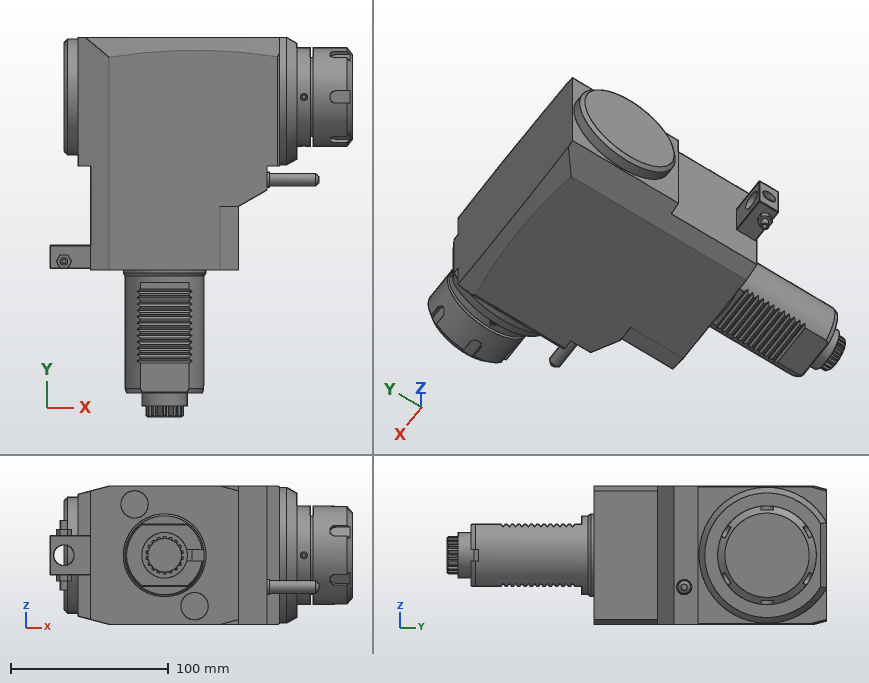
import cadquery as cq
import math


body_height = 88.0
half_height = body_height / 2
body_depth = 147.7
foot_half_width = 47.0
head_left = -55.0
head_right = 73.0
head_front = 66.0
shoulder_x = 65.0
shoulder_y = 50.9
foot_top = 40.5
bevel_angle = 15
bevel_start_right = 35.2
bevel_start_left = -bevel_start_right
rear_bevel_radius = 335.0
rear_bevel_x = 19.3
rear_bevel_peak = 139.5
right_edge_length = 1.5
right_edge_drop = 0.7

spindle_y = 110.0
cap_radius = 36.9
cap_left = -63.9
cap_chamfer = 2.5
flange_radius = 43.1
flange_bevel_x = 77.4
flange_end_x = 83.9
flange_end_radius = 39.5
rear_flat_angle = 30
nut_radius = 31.3
collar_end_x = 92.5
neck_radius = 25.0
nut_start_x = 94.2
nut_chamfer_x = 115.7
nut_end_x = 119.3
nut_end_radius = 26.8
nut_slot_count = 6
nut_slot_width = 8.0
nut_slot_start_x = 104.8
nut_slot_floor_radius = 28.7
collar_hole_count = 4
collar_hole_x = 88.5
collar_hole_radius = 2.2
collar_hole_depth = 1.5
collar_socket_radius = 1.2
collar_socket_depth = 3.0

pin_y = 57.4
pin_z = -20.2
pin_radius = 4.0
pin_end_x = 97.8
pin_tip_chamfer = 2.2
pin_collar_radius = 4.8
pin_collar_length = 1.5

shank_radius = 25.0
shank_length = 78.0
shank_end_length = 3.0
shank_end_drop = 1.0
base_ring_radius = 26.3
base_ring_length = 2.0
base_ring_end = 3.5
flat_height = 19.8
flat_start = 7.7
flat_end_chamfer = 0.7
groove_count = 12
groove_span = 44.0
groove_pitch = groove_span / (groove_count - 1)
first_groove = 13.5
groove_depth = 1.7
groove_half_width = 1.5
end_slot_width = 7.0
end_slot_step_radius = 17.4
end_slot_depth = 4.8
end_slot_shallow_depth = 2.0

boss_radius = 14.5
boss_end = 86.0
spline_end = 93.3
spline_teeth = 18
spline_outer_diameter = 23.9
spline_outer_radius = spline_outer_diameter / 2
spline_root_radius = 10.5
spline_end_chamfer = 1.2
tooth_root_fraction = 0.7
tooth_tip_fraction = 0.3

plug_x = 19.0
plug_z = 32.3
plug_radius = 8.7
plug_recess = 0.2

block_left = -72.8
block_front = 1.0
block_rear = 16.0
block_height = 25.3
block_edge = 0.5
block_bore_radius = 6.5
block_port_radius = 4.8
block_port_end_x = -56.6
block_port_y = 8.5
feed_hole_radius = 0.85
feed_hole_end_x = -49.5
fitting_x = -63.9
fitting_y = 5.5
hex_sides = 6
hex_across_corners = 9.6
hex_top = 16.5
stud_radius = 2.5
stud_top = 22.2
stud_socket_radius = 1.33
stud_socket_depth = 4.8

overlap = 1.2


def cylinder_x(radius, x0, x1, y=0.0, z=0.0):
    return cq.Workplane("YZ", origin=(x0, y, z)).circle(radius).extrude(x1 - x0)


def cylinder_y(radius, y0, y1, x=0.0, z=0.0):
    return cq.Workplane("XZ", origin=(x, y1, z)).circle(radius).extrude(y1 - y0)


def turned_x(profile, y):
    """Turn an (x, radius) outline about the line parallel to X at height Z = 0."""
    outline = [(x, y + radius) for x, radius in profile]
    return cq.Workplane("XY").polyline(outline).close().revolve(360, (0, y, 0), (1, y, 0))


def turned_y(profile):
    """Turn a (radius, y) outline about the Y axis."""
    return cq.Workplane("XY").polyline(profile).close().revolve(360, (0, 0, 0), (0, 1, 0))


def long_bevels():
    """Cross-section envelope in XZ that slopes the left side over its whole depth."""
    run = bevel_start_left - head_left
    side_height = half_height - run * math.tan(math.radians(bevel_angle))
    outline = [
        (bevel_start_left, half_height),
        (head_right, half_height),
        (head_right, -half_height),
        (bevel_start_left, -half_height),
        (head_left, -side_height),
        (head_left, side_height),
    ]
    return cq.Workplane("XZ", origin=(0, body_depth, 0)).polyline(outline).close().extrude(body_depth)


def foot_bevel(side):
    """Wedge that slopes the right edge of the foot; side is +1 for top, -1 for bottom."""
    run = foot_half_width + overlap - bevel_start_right
    drop = run * math.tan(math.radians(bevel_angle))
    outline = [
        (bevel_start_right, side * half_height),
        (bevel_start_right + run, side * half_height),
        (bevel_start_right + run, side * (half_height - drop)),
    ]
    return cq.Workplane("XZ", origin=(0, foot_top, 0)).polyline(outline).close().extrude(foot_top)


def head_edge_bevel(side):
    """Narrow bevel on the right edge of the head."""
    outline = [
        (head_right - right_edge_length, side * half_height),
        (head_right, side * half_height),
        (head_right, side * (half_height - right_edge_drop)),
    ]
    depth = body_depth - head_front
    return cq.Workplane("XZ", origin=(0, body_depth, 0)).polyline(outline).close().extrude(depth)


def rear_bevels():
    """Double cone about a Z axis whose flanks bevel the upper and lower rear edges."""
    equator_radius = rear_bevel_radius + half_height / math.tan(math.radians(bevel_angle))
    outline = [
        (0, half_height),
        (rear_bevel_radius, half_height),
        (equator_radius, 0),
        (rear_bevel_radius, -half_height),
        (0, -half_height),
    ]
    cone = cq.Workplane("XZ").polyline(outline).close().revolve(360, (0, 0, 0), (0, 1, 0))
    return cone.translate((rear_bevel_x, rear_bevel_peak - rear_bevel_radius, 0))


def housing():
    plan = [
        (-foot_half_width, 0),
        (foot_half_width, 0),
        (foot_half_width, foot_top),
        (shoulder_x, shoulder_y),
        (shoulder_x, head_front),
        (head_right, head_front),
        (head_right, body_depth),
        (head_left, body_depth),
        (head_left, head_front),
        (-foot_half_width, head_front),
    ]
    solid = cq.Workplane("XY", origin=(0, 0, -half_height)).polyline(plan).close().extrude(body_height)
    solid = solid.intersect(long_bevels()).intersect(rear_bevels())
    for side in (1, -1):
        solid = solid.cut(foot_bevel(side)).cut(head_edge_bevel(side))
        solid = solid.cut(cylinder_y(plug_radius, 0, plug_recess, -side * plug_x, side * plug_z))
    return solid


def end_cap():
    profile = [
        (head_left + overlap, 0),
        (cap_left, 0),
        (cap_left, cap_radius - cap_chamfer),
        (cap_left + cap_chamfer, cap_radius),
        (head_left + overlap, cap_radius),
    ]
    return turned_x(profile, spindle_y)


def flange():
    """Spindle flange, flattened level with the housing rear and sloped off at its outer end."""
    profile = [
        (head_right - overlap, 0),
        (head_right - overlap, flange_radius),
        (flange_bevel_x, flange_radius),
        (flange_end_x, flange_end_radius),
        (flange_end_x, 0),
    ]
    slope_drop = (flange_end_x - flange_bevel_x) * math.tan(math.radians(rear_flat_angle))
    front_y = spindle_y - flange_radius
    envelope = [
        (head_right - overlap, front_y),
        (flange_end_x, front_y),
        (flange_end_x, body_depth - slope_drop),
        (flange_bevel_x, body_depth),
        (head_right - overlap, body_depth),
    ]
    limits = cq.Workplane("XY").polyline(envelope).close().extrude(flange_radius, both=True)
    return turned_x(profile, spindle_y).intersect(limits)


def nut_slot(angle):
    """Wrench slot with a round inner end, cut inward from the nut rim."""
    half_width = nut_slot_width / 2
    straight_x = nut_slot_start_x + half_width
    slot = (
        cq.Workplane("XY", origin=(0, spindle_y, nut_slot_floor_radius))
        .moveTo(nut_end_x, -half_width)
        .lineTo(straight_x, -half_width)
        .threePointArc((nut_slot_start_x, 0), (straight_x, half_width))
        .lineTo(nut_end_x, half_width)
        .close()
        .extrude(nut_radius)
    )
    return slot.rotate((0, spindle_y, 0), (1, spindle_y, 0), angle)


def collar_hole(angle):
    """Recessed set screw hole with a smaller socket at its bottom."""
    def drill(radius, depth):
        plane = cq.Workplane("XY", origin=(collar_hole_x, spindle_y, nut_radius - depth))
        return plane.circle(radius).extrude(nut_radius)

    hole = drill(collar_hole_radius, collar_hole_depth)
    hole = hole.union(drill(collar_socket_radius, collar_socket_depth))
    return hole.rotate((0, spindle_y, 0), (1, spindle_y, 0), angle)


def collar_and_nut():
    profile = [
        (flange_end_x - overlap, 0),
        (flange_end_x - overlap, nut_radius),
        (collar_end_x, nut_radius),
        (collar_end_x, neck_radius),
        (nut_start_x, neck_radius),
        (nut_start_x, nut_radius),
        (nut_chamfer_x, nut_radius),
        (nut_end_x, nut_end_radius),
        (nut_end_x, 0),
    ]
    solid = turned_x(profile, spindle_y)
    for i in range(nut_slot_count):
        solid = solid.cut(nut_slot(i * 360 / nut_slot_count))
    for i in range(collar_hole_count):
        solid = solid.cut(collar_hole(i * 360 / collar_hole_count))
    return solid


def locating_pin():
    pin = cylinder_x(pin_radius, shoulder_x - overlap, pin_end_x, pin_y, pin_z)
    pin = pin.faces(">X").chamfer(pin_tip_chamfer)
    collar_end = shoulder_x + pin_collar_length
    return pin.union(cylinder_x(pin_collar_radius, shoulder_x - overlap, collar_end, pin_y, pin_z))


def flat_cutter():
    """Material above the upper shank flat, with the V grooves below it."""
    outline = [
        (-flat_start, shank_radius),
        (-flat_start, flat_height),
    ]
    for i in range(groove_count):
        y = -first_groove - i * groove_pitch
        outline.append((y + groove_half_width, flat_height))
        outline.append((y, flat_height - groove_depth))
        outline.append((y - groove_half_width, flat_height))
    outline.append((flat_end_chamfer - shank_length, flat_height))
    outline.append((-shank_length, flat_height - flat_end_chamfer))
    outline.append((-shank_length, shank_radius))
    return cq.Workplane("YZ").polyline(outline).close().extrude(shank_radius, both=True)


def end_slot():
    """Radial slot in the shank end face on the +X side, shallower next to the boss."""
    def channel(start, end, depth):
        size = (end - start, depth, end_slot_width)
        centre = ((start + end) / 2, depth / 2 - shank_length, 0)
        return cq.Workplane("XY").box(*size).translate(centre)

    outer = channel(end_slot_step_radius, shank_radius + overlap, end_slot_depth)
    return outer.union(channel(0, end_slot_step_radius, end_slot_shallow_depth))


def shank():
    profile = [
        (0, overlap),
        (base_ring_radius, overlap),
        (base_ring_radius, -base_ring_length),
        (shank_radius, -base_ring_end),
        (shank_radius, shank_end_length - shank_length),
        (shank_radius - shank_end_drop, -shank_length),
        (0, -shank_length),
    ]
    cutter = flat_cutter()
    return turned_y(profile).cut(cutter).cut(cutter.mirror("XY")).cut(end_slot())


def splined_end():
    """Boss and the external spline at the tip of the drive."""
    boss = cylinder_y(boss_radius, -boss_end, end_slot_depth - shank_length)
    pitch = 2 * math.pi / spline_teeth
    half_root = tooth_root_fraction / 2
    half_tip = tooth_tip_fraction / 2
    tooth = (
        (-half_root, spline_root_radius),
        (-half_tip, spline_outer_radius),
        (half_tip, spline_outer_radius),
        (half_root, spline_root_radius),
    )
    outline = []
    for i in range(spline_teeth):
        for offset, radius in tooth:
            angle = (i + offset) * pitch
            outline.append((radius * math.sin(angle), radius * math.cos(angle)))
    spline = (
        cq.Workplane("XZ", origin=(0, overlap - boss_end, 0))
        .polyline(outline)
        .close()
        .extrude(spline_end - boss_end + overlap)
    )
    envelope = cylinder_y(spline_outer_radius, -spline_end, overlap - boss_end)
    envelope = envelope.faces("<Y").chamfer(spline_end_chamfer)
    return boss.union(spline.intersect(envelope))


def coolant_block():
    right = -foot_half_width
    size = (right - block_left, block_rear - block_front, block_height)
    centre = ((right + block_left) / 2, (block_front + block_rear) / 2, 0)
    block = cq.Workplane("XY").box(*size).edges("<X or |X").chamfer(block_edge).translate(centre)
    base = cq.Workplane("XY", origin=(fitting_x, fitting_y, 0))
    for side in (1, -1):
        block = block.union(base.polygon(hex_sides, hex_across_corners).extrude(side * hex_top))
        block = block.union(base.circle(stud_radius).extrude(side * stud_top))
        socket = base.workplane(offset=side * (stud_top - stud_socket_depth)).circle(stud_socket_radius)
        block = block.cut(socket.extrude(side * stud_socket_depth))
    block = block.cut(cylinder_y(block_bore_radius, block_front, block_rear, fitting_x))
    block = block.cut(cylinder_x(block_port_radius, block_left, block_port_end_x, block_port_y))
    return block.cut(cylinder_x(feed_hole_radius, block_port_end_x, feed_hole_end_x, block_port_y))


result = housing()
for feature in (end_cap, flange, collar_and_nut, locating_pin, shank, splined_end, coolant_block):
    result = result.union(feature())